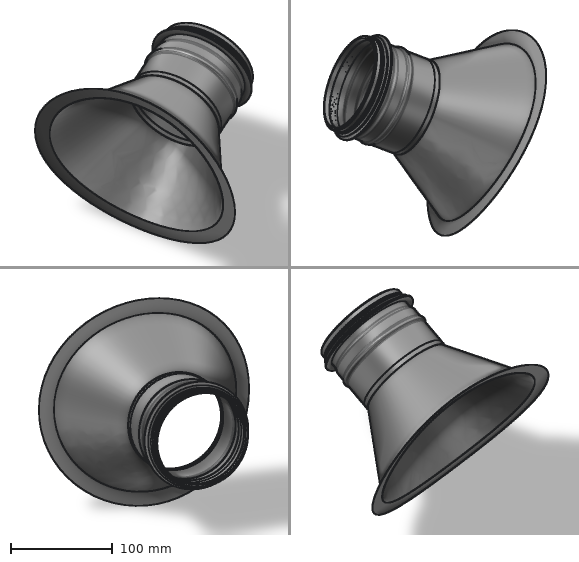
import cadquery as cq
import math


pipe_length = 74.0
pipe_outer_radius = 99.0 / 2
pipe_inner_radius = 98.1 / 2
neck_outer_radius = 95.5 / 2
neck_inner_radius = 94.4 / 2
rim_inner_radius = 93.2 / 2
rim_length = 6.0
rim_chamfer = 1.0
shoulder_start = 48.7
shoulder_end = 52.0
bead_centre = 35.0
bead_half_width = 3.5
bead_peak = 2.2
bead_crown_radius = 3.5
inside_bend_radius = 1.0
outside_bend_radius = 1.5

gasket_body_radius = 97.0 / 2
small_lip_radius = 100.5 / 2
small_lip_thickness = 0.9
small_lip_offset = 1.8
middle_lip_radius = 104.5 / 2
middle_lip_thickness = 1.3
middle_lip_offset = 4.0
seat_radius = 99.0 / 2
seat_thickness = 0.7
end_lip_radius = 109.5 / 2
end_lip_thickness = 1.5
gasket_length = 9.5

collar_length = 5.5
cone_slope = math.tan(math.radians(30))
collar_outer_radius = pipe_inner_radius
collar_inner_radius = 97.0 / 2
flange_sheet = 0.5
saddle_radius = 509.5
saddle_crown = -72.5
flange_half_length = 221.5 / 2
rim_curve_radius = 571.5
rim_crown = -73.8
curve_points = 48


def revolve_about_y(outline):
    return outline.close().revolve(360, (0, 0, 0), (0, 1, 0))


def round_bend(body, y, wall_radii, bend_radii):
    """Rounds the bend that a wall makes at height y, on its outer and then on its inner surface."""

    def is_bend(edge, wall_radius):
        return math.isclose(edge.radius(), wall_radius) and math.isclose(edge.Center().y, y)

    for wall_radius, bend_radius in zip(wall_radii, bend_radii):
        bend = body.edges("%CIRCLE").filter(lambda edge: is_bend(edge, wall_radius))
        body = bend.fillet(bend_radius)
    return body


def make_pipe():
    rim_bottom = pipe_length - rim_length
    bead_top = bead_centre + bead_half_width
    bead_bottom = bead_centre - bead_half_width
    outline = (
        cq.Workplane("XY")
        .moveTo(pipe_inner_radius, 0)
        .lineTo(pipe_outer_radius, 0)
        .lineTo(pipe_outer_radius, bead_bottom)
        .lineTo(pipe_outer_radius + bead_peak, bead_centre)
        .lineTo(pipe_outer_radius, bead_top)
        .lineTo(pipe_outer_radius, shoulder_start)
        .lineTo(neck_outer_radius, shoulder_end)
        .lineTo(neck_outer_radius, rim_bottom)
        .lineTo(pipe_outer_radius, rim_bottom)
        .lineTo(pipe_outer_radius, pipe_length - rim_chamfer)
        .lineTo(pipe_outer_radius - rim_chamfer, pipe_length)
        .lineTo(rim_inner_radius, pipe_length)
        .lineTo(rim_inner_radius, rim_bottom)
        .lineTo(neck_inner_radius, rim_bottom)
        .lineTo(neck_inner_radius, shoulder_end)
        .lineTo(pipe_inner_radius, shoulder_start)
        .lineTo(pipe_inner_radius, bead_top)
        .lineTo(pipe_inner_radius + bead_peak, bead_centre)
        .lineTo(pipe_inner_radius, bead_bottom)
    )
    pipe = revolve_about_y(outline)
    pipe_radii = (pipe_outer_radius, pipe_inner_radius)
    neck_radii = (neck_outer_radius, neck_inner_radius)
    peak_radii = (pipe_outer_radius + bead_peak, pipe_inner_radius + bead_peak)
    hollow_bend = (inside_bend_radius, outside_bend_radius)
    bulging_bend = (outside_bend_radius, inside_bend_radius)
    crown_bend = (bead_crown_radius, bead_crown_radius - pipe_outer_radius + pipe_inner_radius)
    pipe = round_bend(pipe, bead_bottom, pipe_radii, hollow_bend)
    pipe = round_bend(pipe, bead_centre, peak_radii, crown_bend)
    pipe = round_bend(pipe, bead_top, pipe_radii, hollow_bend)
    pipe = round_bend(pipe, shoulder_start, pipe_radii, bulging_bend)
    return round_bend(pipe, shoulder_end, neck_radii, hollow_bend)


def make_gasket():
    top = pipe_length - rim_length
    bottom = top - gasket_length
    small_lip_top = top - small_lip_offset
    small_lip_bottom = small_lip_top - small_lip_thickness
    middle_lip_top = top - middle_lip_offset
    middle_lip_bottom = middle_lip_top - middle_lip_thickness
    tip_radius = middle_lip_thickness / 2
    end_lip_top = bottom + end_lip_thickness
    seat_top = end_lip_top + seat_thickness
    outline = (
        cq.Workplane("XY")
        .moveTo(neck_outer_radius, top)
        .lineTo(gasket_body_radius, top)
        .lineTo(gasket_body_radius, small_lip_top)
        .lineTo(small_lip_radius, small_lip_bottom)
        .lineTo(gasket_body_radius, small_lip_bottom)
        .lineTo(gasket_body_radius, middle_lip_top)
        .lineTo(middle_lip_radius - tip_radius, middle_lip_top)
        .threePointArc(
            (middle_lip_radius, middle_lip_top - tip_radius),
            (middle_lip_radius - tip_radius, middle_lip_bottom),
        )
        .lineTo(gasket_body_radius, middle_lip_bottom)
        .lineTo(gasket_body_radius, seat_top)
        .lineTo(seat_radius, seat_top)
        .lineTo(seat_radius, end_lip_top)
        .lineTo(end_lip_radius, end_lip_top)
        .lineTo(end_lip_radius, bottom)
        .lineTo(neck_outer_radius, bottom)
    )
    return revolve_about_y(outline)


def cone_radius_at_saddle(angle, start_radius, crown):
    """Radius where the cone meets a cylinder along Z whose top line is at Y = crown."""
    axis_depth = saddle_radius - crown
    apex_height = start_radius / cone_slope
    reach = apex_height + axis_depth
    a = math.cos(angle) ** 2 + 1 / cone_slope**2
    b = -2 * reach / cone_slope
    c = reach**2 - saddle_radius**2
    return (-b - math.sqrt(b**2 - 4 * a * c)) / (2 * a)


def closed_curve(point_at):
    """Smooth closed curve around the duct axis through the points that point_at gives."""
    angles = [2 * math.pi * i / curve_points for i in range(curve_points)]
    return cq.Edge.makeSpline([cq.Vector(*point_at(angle)) for angle in angles], periodic=True)


def circle_curve(radius, y):
    return closed_curve(lambda angle: (radius * math.cos(angle), y, radius * math.sin(angle)))


def saddle_curve(start_radius, crown):
    """Curve where the cone of this start radius meets the saddle cylinder."""

    def point_at(angle):
        radius = cone_radius_at_saddle(angle, start_radius, crown)
        depth = (radius - start_radius) / cone_slope
        return (radius * math.cos(angle), -depth, radius * math.sin(angle))

    return closed_curve(point_at)


def rim_curve(drop):
    """Outer edge of the flange, the same distance outside the cone all round."""
    flange_width = flange_half_length - cone_radius_at_saddle(0, collar_outer_radius, saddle_crown)

    def point_at(angle):
        radius = cone_radius_at_saddle(angle, collar_outer_radius, saddle_crown) + flange_width
        x = radius * math.cos(angle)
        sag = rim_curve_radius - math.sqrt(rim_curve_radius**2 - x**2)
        return (x, rim_crown - drop - sag, radius * math.sin(angle))

    return closed_curve(point_at)


def make_cone():
    """Sheet-metal skin ruled between curves that run down the outside and back up the inside."""
    curves = [
        circle_curve(collar_outer_radius, collar_length),
        circle_curve(collar_outer_radius, 0),
        saddle_curve(collar_outer_radius, saddle_crown),
        rim_curve(0),
        rim_curve(flange_sheet),
        saddle_curve(collar_inner_radius, saddle_crown - flange_sheet),
        circle_curve(collar_inner_radius, 0),
        circle_curve(collar_inner_radius, collar_length),
    ]
    following = curves[1:] + curves[:1]
    faces = [cq.Face.makeRuledSurface(curve, other) for curve, other in zip(curves, following)]
    return cq.Workplane(cq.Solid.makeSolid(cq.Shell.makeShell(faces)))


pipe = make_pipe()
gasket = make_gasket()
cone = make_cone()
result = cq.Compound.makeCompound([pipe.val(), gasket.val(), cone.val()])